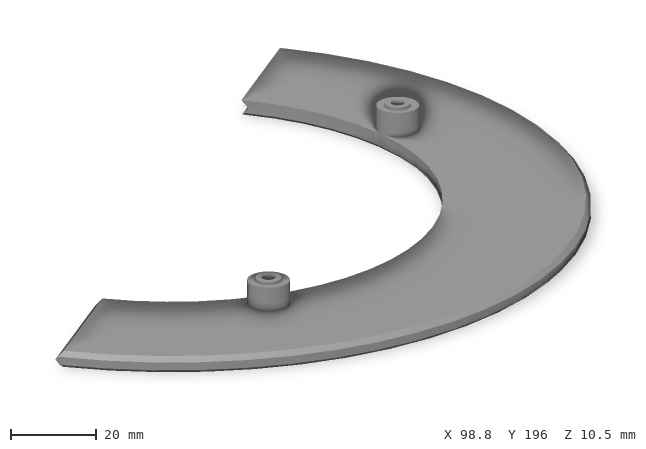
import cadquery as cq
import math

outer_radius = 98.0
inner_radius = 63.3
plate_thickness = 4.0
top_chamfer = 1.2
bottom_chamfer = 0.8

joint_reach = 0.8
joint_root = 1.0

boss_diameter = 10.0
collar_diameter = 6.0
bore_diameter = 3.3
overall_height = 10.5
collar_height = 0.5
boss_angle = 55.0
boss_circle_radius = inner_radius + boss_diameter / 2


def ring():
    """Full ring, chamfered on the outer top rim and on both bottom rims."""
    blank = cq.Workplane("XY").circle(outer_radius).circle(inner_radius).extrude(plate_thickness)
    blank = blank.faces("<Z").edges().chamfer(bottom_chamfer)
    outer_top_rim = cq.selectors.RadiusNthSelector(-1)
    return blank.faces(">Z").edges(outer_top_rim).chamfer(top_chamfer)


def end_envelope(side, edge_x, middle_x):
    """Block on one Y side (+1 or -1) whose -X face is a V from edge_x to middle_x."""
    far_x = outer_radius + 2
    profile = [
        (edge_x, 0),
        (far_x, 0),
        (far_x, plate_thickness),
        (edge_x, plate_thickness),
        (middle_x, plate_thickness / 2),
    ]
    return cq.Workplane("XZ").polyline(profile).close().extrude(-side * far_x)


def half_ring():
    """Ring cut to the +X half, with a tongue at one end and a groove at the other."""
    tongue_side = end_envelope(-1, joint_root, -joint_reach)
    groove_side = end_envelope(1, -joint_reach, joint_root)
    return ring().intersect(tongue_side.union(groove_side))


def at_bosses(diameter, bottom_z, top_z):
    """Upright cylinders at both boss positions."""
    x = boss_circle_radius * math.cos(math.radians(boss_angle))
    y = boss_circle_radius * math.sin(math.radians(boss_angle))
    base = cq.Workplane("XY").workplane(offset=bottom_z).pushPoints([(x, -y), (x, y)])
    return base.circle(diameter / 2).extrude(top_z - bottom_z)


boss_base = plate_thickness / 2
bosses = at_bosses(boss_diameter, boss_base, overall_height - collar_height)
collars = at_bosses(collar_diameter, boss_base, overall_height)
bores = at_bosses(bore_diameter, 0, overall_height)

result = half_ring().union(bosses).union(collars).cut(bores)